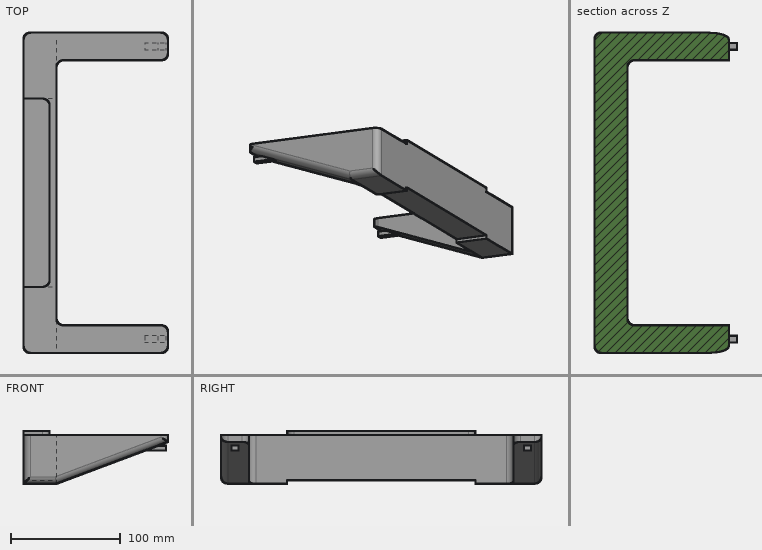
import cadquery as cq

overall_width = 292.1
bar_depth = 30.1625
arm_reach = 101.6
body_length = bar_depth + arm_reach
arm_width = 25.4
body_height = 44.45
tip_height = 6.35
corner_radius = 6.35

rib_length = 171.45
rib_height = 3.81
rib_depth = bar_depth - corner_radius
groove_depth = 3.175

lip_width = 6.35
lip_top = 9.8
lip_thickness = 4.4
lip_setback = 1.7

half_width = overall_width / 2
inner_half_width = half_width - arm_width


def make_tapered_block():
    """Full-width block with the arm taper underneath and rounded outer lower edges."""
    block = (
        cq.Workplane("XZ")
        .moveTo(0, 0)
        .lineTo(body_length, 0)
        .lineTo(body_length, -tip_height)
        .lineTo(bar_depth, -body_height)
        .lineTo(0, -body_height)
        .close()
        .extrude(half_width, both=True)
    )
    underside_edges = block.faces("<Y or >Y").edges("not(|Z)").edges("not(>Z)")
    return block.newObject(underside_edges.vals()).fillet(corner_radius)


def make_plan():
    """U-shaped outline with every vertical corner rounded."""
    return (
        cq.Workplane("XY")
        .moveTo(0, -half_width)
        .lineTo(body_length, -half_width)
        .lineTo(body_length, -inner_half_width)
        .lineTo(bar_depth, -inner_half_width)
        .lineTo(bar_depth, inner_half_width)
        .lineTo(body_length, inner_half_width)
        .lineTo(body_length, half_width)
        .lineTo(0, half_width)
        .close()
        .extrude(-body_height)
        .edges("|Z")
        .fillet(corner_radius)
    )


def make_rib():
    """Raised rib on the bar, flush with the back face and rounded at its front corners."""
    return (
        cq.Workplane("XY")
        .box(rib_depth, rib_length, rib_height, centered=(False, True, False))
        .edges("|Z and >X")
        .fillet(corner_radius)
    )


def make_groove():
    """Slot across the underside of the bar, as long as the rib."""
    return (
        cq.Workplane("XY", origin=(0, 0, -body_height))
        .box(bar_depth, rib_length, groove_depth, centered=(False, True, False))
    )


def make_lip(side):
    """Flat-ended lip below the arm tip, on the arm's centreline."""
    lip_bottom = lip_top + lip_thickness
    taper_slope = (body_height - tip_height) / arm_reach
    root_x = body_length - (lip_bottom - tip_height) / taper_slope
    lip_length = body_length - lip_setback - root_x
    lip_y = side * (half_width - arm_width / 2)
    return (
        cq.Workplane("XY", origin=(root_x, lip_y, -lip_bottom))
        .box(lip_length, lip_width, lip_thickness, centered=(False, True, False))
    )


result = make_tapered_block().intersect(make_plan())
result = result.union(make_rib()).cut(make_groove())
for side in (-1, 1):
    result = result.union(make_lip(side))